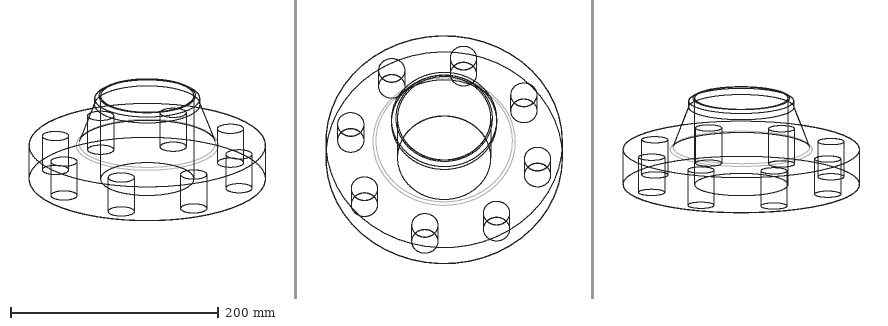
import cadquery as cq

flange_diameter = 228.5
flange_thickness = 35.0
total_height = 86.0

bore_diameter = 90.0
neck_diameter = 101.7
neck_length = 9.0
bevel_height = 2.7
land_width = 1.5

hub_diameter = 133.2
hub_fillet_radius = 3.0

bolt_hole_count = 8
bolt_hole_diameter = 25.4
bolt_circle_diameter = 184.2


def turned_body():
    """Revolve the half section of the plate, the tapered hub and the bevelled neck."""
    flange_radius = flange_diameter / 2
    bore_radius = bore_diameter / 2
    neck_radius = neck_diameter / 2
    hub_radius = hub_diameter / 2
    section = (
        cq.Workplane("XZ")
        .moveTo(bore_radius, 0)
        .lineTo(flange_radius, 0)
        .lineTo(flange_radius, flange_thickness)
        .lineTo(hub_radius, flange_thickness)
        .lineTo(neck_radius, total_height - neck_length)
        .lineTo(neck_radius, total_height - bevel_height)
        .lineTo(bore_radius + land_width, total_height)
        .lineTo(bore_radius, total_height)
        .close()
    )
    return section.revolve(360, (0, 0, 0), (0, 1, 0))


def round_hub_foot(body):
    """Fillet the inner circle of the plate's top face, where the hub rises from it."""
    half_band = hub_fillet_radius / 2
    foot_band = cq.selectors.BoxSelector(
        (-hub_diameter, -hub_diameter, flange_thickness - half_band),
        (hub_diameter, hub_diameter, flange_thickness + half_band),
    )
    foot_edge = body.edges(foot_band).edges("%CIRCLE").edges(cq.selectors.RadiusNthSelector(0))
    return foot_edge.fillet(hub_fillet_radius)


def bolt_hole_cutters():
    """Cylinders on the bolt circle, as tall as the plate."""
    return (
        cq.Workplane("XY")
        .polarArray(bolt_circle_diameter / 2, 0, 360, bolt_hole_count)
        .circle(bolt_hole_diameter / 2)
        .extrude(flange_thickness)
    )


result = round_hub_foot(turned_body()).cut(bolt_hole_cutters())